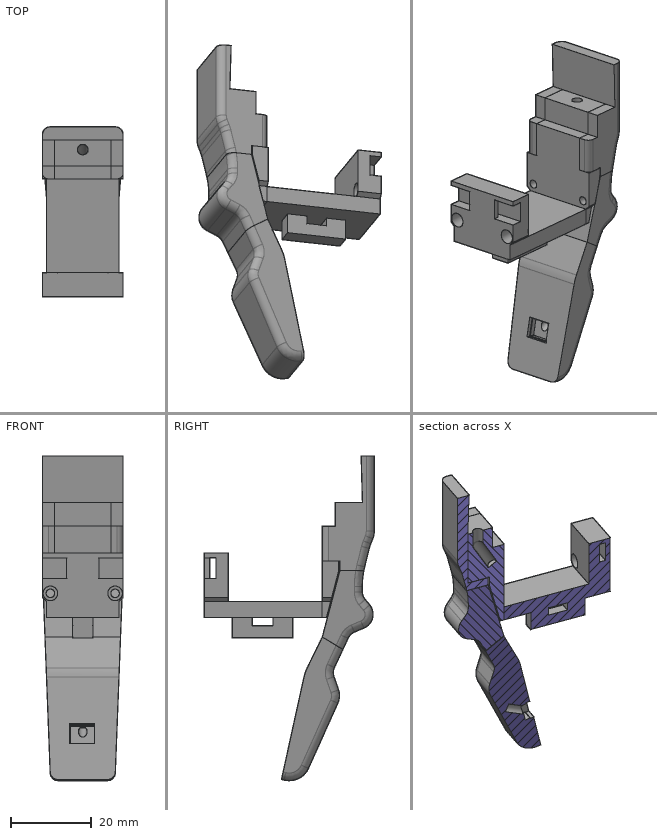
import cadquery as cq
import math


FINGER_WIDTH = 20.0
FINGER_TOP = 40.0
REACH = 30.0
MARGIN = 0.1
TIP_OVERRUN = 2.0

BACK_Y = 12.9
BACK_ROUND = 2.0

PLATE_FRONT_TOP = 9.6
PLATE_FRONT_BASE = 9.92
UPPER_LEDGE_Z = 28.5
UPPER_LEDGE_Y = 3.2
LOWER_LEDGE_Z = 22.6
CHEEK_ROUND = 1.5
FIRST_JOINT_Z = 11.65
SECOND_JOINT_Z = -4.8
SECOND_JOINT_ANGLE = 31.0
RECESS_Y = 4.35
PALM_BEND = (-4.28, -13.55)
PALM_BEND_RADIUS = 10.0
TIP = (-10.1, -40.04)
TIP_HALF_WIDTH = 8.02

BLOCK_HEIGHT = 14.0
BLOCK_BACK_Y = 4.15
BLOCK_BACK_BOTTOM_Y = 1.1
TONGUE_WIDTH = 13.9
SCREW_SPACING = 16.0
SCREW_Z = 6.0
SCREW_HOLE = 2.1
SCREW_CLEARANCE_HOLE = 3.6
TENDON_ENTRY_DIAMETER = 2.6
TIP_BORE_DIAMETER = 2.1
TENDON_ENTRY_Y = 7.25
TENDON_ENTRY_DEPTH = 4.0
TENDON_SLANT_LENGTH = 8.0
TENDON_SLANT = 30.0

ARM_WIDTH = 18.0
ARM_THICKNESS = 4.0
BRACKET_FRONT_Y = -29.2
UPRIGHT_THICKNESS = 6.0
UPRIGHT_HEIGHT = 16.0
STRAP_WIDTH = 5.1
STRAP_SLOT_BOTTOM = 9.7
STRAP_LIP = 1.4
STRAP_SLOT_DEPTH = 1.5
STRAP_MOUTH_LENGTH = 6.0
LOOP_CENTER_Y = -14.75
LOOP_LENGTH = 15.0
LOOP_WIDTH = 5.0
LOOP_HEIGHT = 5.0
LOOP_OPENING_HEIGHT = 2.0

POCKET_Z = -28.65
POCKET_CENTER_X = -0.17
POCKET_WIDTH = 6.1
POCKET_HEIGHT = 5.0
POCKET_INSET = 0.22
POCKET_MOUTH_DEPTH = 1.0
POCKET_DEPTH = 2.3
TIP_BORE_RISE = 0.9
TIP_BORE_LENGTH = 6.0
TIP_BORE_SLANT = 36.0


def box(x_range, y_range, z_range):
    """Block spanning the given X, Y and Z ranges."""
    sizes = [high - low for low, high in (x_range, y_range, z_range)]
    corner = (x_range[0], y_range[0], z_range[0])
    return cq.Workplane("XY").box(*sizes, centered=False).translate(corner)


def centered_box(width, y_range, z_range):
    """Block centred on X = 0."""
    return box((-width / 2, width / 2), y_range, z_range)


def side_prism(outline, width):
    """(Y, Z) outline stretched across X, centred on X = 0."""
    return cq.Workplane("YZ").polyline(outline).close().extrude(width / 2, both=True)


def bore(start, direction, diameter, length):
    """Cylinder from a start point along a direction."""
    solid = cq.Solid.makeCylinder(diameter / 2, length, cq.Vector(*start), cq.Vector(*direction))
    return cq.Workplane(obj=solid)


def rounded_wire(corners):
    """Closed (Y, Z) outline from (y, z, radius) corners; radius 0 keeps a corner sharp."""
    stretches = []
    for index, (y, z, radius) in enumerate(corners):
        corner = cq.Vector(y, z, 0)
        if radius == 0:
            stretches.append((corner, None, corner))
            continue
        before = cq.Vector(*corners[index - 1][:2], 0)
        after = cq.Vector(*corners[(index + 1) % len(corners)][:2], 0)
        to_before = (before - corner).normalized()
        to_after = (after - corner).normalized()
        half_angle = to_before.getAngle(to_after) / 2
        tangent = radius / math.tan(half_angle)
        bisector = (to_before + to_after).normalized()
        middle = corner + bisector * (radius / math.sin(half_angle) - radius)
        stretches.append((corner + to_before * tangent, middle, corner + to_after * tangent))

    wire = cq.Workplane("YZ").moveTo(*stretches[0][2].toTuple()[:2])
    for start, middle, end in stretches[1:]:
        wire = wire.lineTo(*start.toTuple()[:2])
        if middle is not None:
            wire = wire.threePointArc(middle.toTuple()[:2], end.toTuple()[:2])
    return wire.close()


BACK_CORNERS = [
    (BACK_Y, FINGER_TOP, 0),
    (BACK_Y, 20.4, 5.0),
    (11.8, 17.7, 8.0),
    (9.95, 10.2, 20.0),
    (9.95, 5.35, 3.0),
    (14.9, -0.64, 3.7),
    (6.94, -4.05, 3.0),
    (2.55, -13.4, 3.0),
    (4.64, -19.5, 4.5),
    (-5.17, -41.29, 5.3),
]
PALM_CORNERS = [
    (*PALM_BEND, PALM_BEND_RADIUS),
    (0, SECOND_JOINT_Z, 0),
    (RECESS_Y, FIRST_JOINT_Z, 0),
    (RECESS_Y, BLOCK_HEIGHT, 0),
    (0, BLOCK_HEIGHT, 0),
    (0, LOWER_LEDGE_Z, 0),
    (UPPER_LEDGE_Y, LOWER_LEDGE_Z, 0),
    (UPPER_LEDGE_Y, UPPER_LEDGE_Z, 0),
    (PLATE_FRONT_BASE, UPPER_LEDGE_Z, 0),
    (PLATE_FRONT_TOP, FINGER_TOP, 0),
]


def extended(start, through, y):
    """Point at the given Y on the line from start through another point."""
    slope = (through[1] - start[1]) / (through[0] - start[0])
    return (y, start[1] + slope * (y - start[0]))


def make_rounded_back():
    """Tapered slab with the finger's back and tip outline, rounded along both back edges."""
    end = extended(BACK_CORNERS[-1], TIP, -REACH)
    outline = BACK_CORNERS + [(*end, 0), (-REACH, FINGER_TOP, 0)]
    slab = rounded_wire(outline).extrude(FINGER_WIDTH / 2, both=True)

    half = FINGER_WIDTH / 2
    side = extended((half, FIRST_JOINT_Z), (TIP_HALF_WIDTH, TIP[1]), TIP_HALF_WIDTH / 2)
    right_side = [(half, FINGER_TOP), (half, FIRST_JOINT_Z), side]
    left_side = [(-x, z) for x, z in reversed(right_side)]
    front = cq.Workplane("XZ").polyline(right_side + left_side).close().extrude(2 * REACH, both=True)
    slab = slab.intersect(front)

    for sign in (-1, 1):
        near = (sign * TIP_HALF_WIDTH / 2, MARGIN - REACH, -2 * FINGER_TOP)
        far = (sign * FINGER_WIDTH, REACH, FINGER_TOP - MARGIN)
        slab = slab.edges(cq.selectors.BoxSelector(near, far)).fillet(BACK_ROUND)
    return slab


def make_finger():
    """Whole finger, before it is divided at its joints."""
    past_tip = extended(PALM_BEND, TIP, TIP[0] - TIP_OVERRUN)
    palm = [(-2 * REACH, FINGER_TOP, 0), (-2 * REACH, past_tip[1], 0), (*past_tip, 0)]
    palm += PALM_CORNERS
    palm_space = rounded_wire(palm).extrude(FINGER_WIDTH, both=True)
    finger = make_rounded_back().cut(palm_space)

    for sign in (-1, 1):
        corner = (sign * FINGER_WIDTH / 2, 0, (BLOCK_HEIGHT + LOWER_LEDGE_Z) / 2)
        finger = finger.edges(cq.selectors.NearestToPointSelector(corner)).fillet(CHEEK_ROUND)
    return finger


def above_second_joint():
    """Region on the upper side of the tilted second joint plane."""
    slope = math.tan(math.radians(SECOND_JOINT_ANGLE))
    left = SECOND_JOINT_Z + slope * REACH
    right = SECOND_JOINT_Z - slope * REACH
    outline = [(-REACH, left), (REACH, right), (REACH, 2 * FINGER_TOP), (-REACH, 2 * FINGER_TOP)]
    return side_prism(outline, 2 * FINGER_WIDTH)


def tongue_envelope():
    """Room between the cheeks, from the block's top up to the upper ledge."""
    return centered_box(TONGUE_WIDTH, (0, PLATE_FRONT_BASE), (BLOCK_HEIGHT, UPPER_LEDGE_Z))


def make_block():
    """Block under the cheeks, with its back sloped to clear the middle segment."""
    outline = [
        (0, 0),
        (BLOCK_BACK_BOTTOM_Y, 0),
        (BLOCK_BACK_Y, FIRST_JOINT_Z),
        (BLOCK_BACK_Y, BLOCK_HEIGHT),
        (0, BLOCK_HEIGHT),
    ]
    return narrow_foot(side_prism(outline, FINGER_WIDTH))


def narrow_foot(body):
    """Trim a full-width body to the arm's width at the bottom, with sloped shoulders."""
    wide = FINGER_WIDTH / 2
    narrow = ARM_WIDTH / 2
    shoulder = ARM_THICKNESS + wide - narrow
    right = [(wide, FINGER_TOP), (wide, shoulder), (narrow, ARM_THICKNESS), (narrow, 0)]
    left = [(-x, z) for x, z in reversed(right)]
    return body.intersect(cq.Workplane("XZ").polyline(right + left).close().extrude(2 * REACH, both=True))


def screw_holes(diameter, y_range):
    """Pair of holes along Y for the bracket screws."""
    length = y_range[1] - y_range[0]
    holes = cq.Workplane("XY")
    for x in (-SCREW_SPACING / 2, SCREW_SPACING / 2):
        holes = holes.add(bore((x, y_range[0], SCREW_Z), (0, 1, 0), diameter, length))
    return holes.combine()


def tendon_entry():
    """Upright bore in the tongue's top that turns into a slanted one."""
    bend = (0, TENDON_ENTRY_Y, UPPER_LEDGE_Z - TENDON_ENTRY_DEPTH)
    slant = math.radians(TENDON_SLANT)
    slant_direction = (0, -math.sin(slant), -math.cos(slant))
    upright = bore(bend, (0, 0, 1), TENDON_ENTRY_DIAMETER, TENDON_ENTRY_DEPTH)
    elbow = cq.Workplane("XY").sphere(TENDON_ENTRY_DIAMETER / 2).translate(bend)
    slanted = bore(bend, slant_direction, TENDON_ENTRY_DIAMETER, TENDON_SLANT_LENGTH)
    return upright.union(elbow).union(slanted)


def make_bracket():
    """Arm with a front upright for the strap and a strap loop underneath."""
    arm = centered_box(ARM_WIDTH, (BRACKET_FRONT_Y, 0), (0, ARM_THICKNESS))
    back_y = BRACKET_FRONT_Y + UPRIGHT_THICKNESS
    upright = narrow_foot(centered_box(FINGER_WIDTH, (BRACKET_FRONT_Y, back_y), (0, UPRIGHT_HEIGHT)))

    slot_heights = (STRAP_SLOT_BOTTOM, STRAP_SLOT_BOTTOM + STRAP_WIDTH)
    slot_front = BRACKET_FRONT_Y + STRAP_LIP
    slot_back = slot_front + STRAP_SLOT_DEPTH
    upright = upright.cut(centered_box(FINGER_WIDTH, (slot_front, slot_back), slot_heights))
    mouth_inner = FINGER_WIDTH / 2 - STRAP_MOUTH_LENGTH
    for x_range in ((-FINGER_WIDTH / 2, -mouth_inner), (mouth_inner, FINGER_WIDTH / 2)):
        upright = upright.cut(box(x_range, (BRACKET_FRONT_Y, slot_front), slot_heights))
    upright = upright.cut(screw_holes(SCREW_CLEARANCE_HOLE, (BRACKET_FRONT_Y, back_y)))

    loop_ends = (LOOP_CENTER_Y - LOOP_LENGTH / 2, LOOP_CENTER_Y + LOOP_LENGTH / 2)
    opening_ends = (LOOP_CENTER_Y - STRAP_WIDTH / 2, LOOP_CENTER_Y + STRAP_WIDTH / 2)
    loop = centered_box(LOOP_WIDTH, loop_ends, (-LOOP_HEIGHT, 0))
    loop = loop.cut(centered_box(LOOP_WIDTH, opening_ends, (-LOOP_OPENING_HEIGHT, 0)))
    return arm.union(upright).union(loop)


def tip_pocket():
    """Stepped pocket and slanted tendon bore, sunk into the distal palm face."""
    rise = PALM_BEND[1] - TIP[1]
    run = PALM_BEND[0] - TIP[0]
    tilt = math.degrees(math.atan2(run, rise))
    left = POCKET_CENTER_X - POCKET_WIDTH / 2
    right = POCKET_CENTER_X + POCKET_WIDTH / 2
    top = POCKET_HEIGHT / 2
    inner_top = top - POCKET_INSET
    mouth = box((left, right), (0, POCKET_MOUTH_DEPTH), (-top, top))
    inner = box((left + POCKET_INSET, right), (0, POCKET_DEPTH), (-inner_top, inner_top))

    slant = math.radians(TIP_BORE_SLANT)
    lead = TIP_BORE_DIAMETER / 2
    start = (0, POCKET_DEPTH - lead, TIP_BORE_RISE - lead * math.tan(slant))
    hole = bore(start, (0, math.cos(slant), math.sin(slant)), TIP_BORE_DIAMETER, TIP_BORE_LENGTH)
    pocket = mouth.union(inner).union(hole)
    center_y = PALM_BEND[0] + (POCKET_Z - PALM_BEND[1]) * run / rise
    return pocket.rotate((0, 0, 0), (1, 0, 0), -tilt).translate((0, center_y, POCKET_Z))


finger = make_finger()
tongue = finger.intersect(tongue_envelope())
block = make_block().cut(screw_holes(SCREW_HOLE, (0, BLOCK_BACK_Y)))
knuckle = block.union(tongue).cut(tendon_entry())

upper_region = centered_box(2 * FINGER_WIDTH, (-REACH, REACH), (FIRST_JOINT_Z, 2 * FINGER_TOP))
proximal = finger.intersect(upper_region).cut(tongue_envelope())
lower_finger = finger.cut(upper_region)
middle = lower_finger.intersect(above_second_joint())
distal = lower_finger.cut(above_second_joint()).cut(tip_pocket())

bracket = make_bracket()

bodies = [proximal, middle, distal, knuckle, bracket]
result = cq.Compound.makeCompound([body.solids().val() for body in bodies])